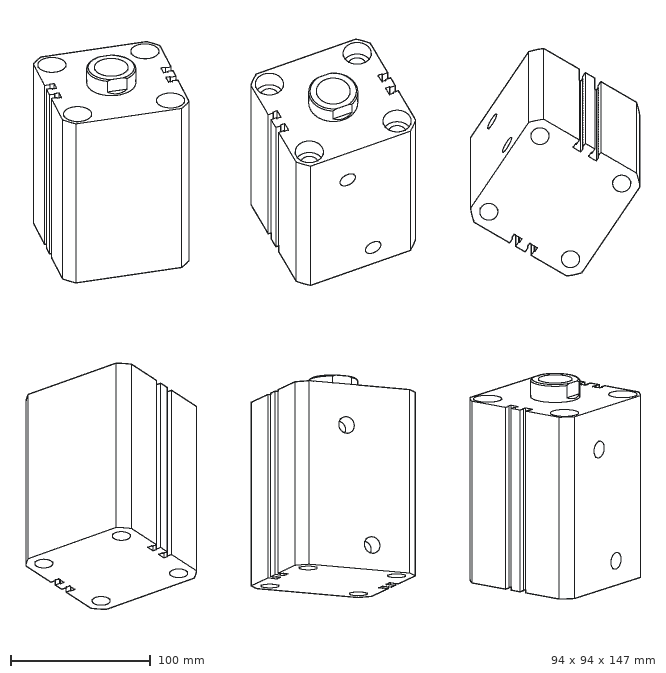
import cadquery as cq
import math

total_height = 147.0
housing_height = 134.0
housing_width = 94.0
corner_diameter = 122.3

mount_spacing = 69.0
mount_hole_diameter = 13.0
mount_bore_diameter = 20.1
mount_bore_depth = 13.0

slot_spacing = 13.1
slot_mouth_width = 5.0
slot_inner_width = 6.5
slot_depth = 7.4
slot_lip = 4.1

port_diameter = 12.0
port_depth = 14.7
port_taper_ratio = 1 / 16
port_offset = 10.0
lower_port_height = 18.1
upper_port_drop = 30.0

rod_diameter = 35.1
rod_chamfer = 1.0
rod_flats_width = 31.9
flat_start = 3.0
thread_bore_diameter = 24.1
thread_bore_depth = 39.7
drill_point_angle = 120.0
rod_end_wall = 8.8

port_taper_angle = math.degrees(math.atan(port_taper_ratio / 2))
thread_bore_radius = thread_bore_diameter / 2
drill_point_depth = thread_bore_radius / math.tan(math.radians(drill_point_angle / 2))
rod_length = thread_bore_depth + drill_point_depth + rod_end_wall
rod_bottom = total_height - rod_length


def make_housing_block():
    """Square block with its corners trimmed by a concentric cylinder."""
    block = cq.Workplane("XY").rect(housing_width, housing_width).extrude(housing_height)
    corner_cylinder = cq.Workplane("XY").circle(corner_diameter / 2).extrude(housing_height)
    return block.intersect(corner_cylinder)


def cut_mounting_holes(body):
    """Four counterbored through holes."""
    return (
        body.faces(">Z").workplane(origin=(0, 0, housing_height))
        .rect(mount_spacing, mount_spacing, forConstruction=True).vertices()
        .cboreHole(mount_hole_diameter, mount_bore_diameter, mount_bore_depth)
    )


def make_slot(x, side):
    """T-slot cutter at the given X on the +Y (side 1) or -Y (side -1) face."""
    face_y = side * housing_width / 2
    mouth = (
        cq.Workplane("XY").center(x, face_y - side * slot_depth / 2)
        .rect(slot_mouth_width, slot_depth).extrude(housing_height)
    )
    inner_depth = slot_depth - slot_lip
    inner = (
        cq.Workplane("XY").center(x, face_y - side * (slot_lip + inner_depth / 2))
        .rect(slot_inner_width, inner_depth).extrude(housing_height)
    )
    return mouth.union(inner)


def make_port(y, z):
    """Blind tapered port cutter entering from the -X face."""
    return (
        cq.Workplane("YZ", origin=(-housing_width / 2, y, z))
        .circle(port_diameter / 2).extrude(port_depth, taper=port_taper_angle)
    )


def make_housing():
    """Cylinder body with slots, ports and the blind recess that holds the rod."""
    body = cut_mounting_holes(make_housing_block())
    for side in (1, -1):
        for x in (-slot_spacing / 2, slot_spacing / 2):
            body = body.cut(make_slot(x, side))
    body = body.cut(make_port(port_offset, housing_height - upper_port_drop))
    body = body.cut(make_port(-port_offset, lower_port_height))
    rod_recess = (
        cq.Workplane("XY").workplane(offset=rod_bottom)
        .circle(rod_diameter / 2).extrude(rod_length)
    )
    return body.cut(rod_recess)


def make_flat_cutter(side):
    """Wrench flat on the +X (side 1) or -X (side -1) side, with a 45 degree lower shoulder."""
    flat_x = rod_flats_width / 2
    outer_x = rod_diameter / 2
    step = outer_x - flat_x
    start_z = housing_height + flat_start
    return (
        cq.Workplane("XZ")
        .polyline([
            (side * flat_x, start_z),
            (side * outer_x, start_z - step),
            (side * outer_x, total_height),
            (side * flat_x, total_height),
        ])
        .close().extrude(rod_diameter / 2, both=True)
    )


def make_thread_bore():
    """Blind bore from the top of the rod, ending in a drill point."""
    bore_bottom = total_height - thread_bore_depth
    return (
        cq.Workplane("XZ")
        .polyline([
            (0, total_height),
            (thread_bore_radius, total_height),
            (thread_bore_radius, bore_bottom),
            (0, bore_bottom - drill_point_depth),
        ])
        .close().revolve(360, (0, 0, 0), (0, 1, 0))
    )


def make_rod():
    """Piston rod with a chamfered top, two wrench flats and a thread bore."""
    rod = (
        cq.Workplane("XY").workplane(offset=rod_bottom)
        .circle(rod_diameter / 2).extrude(rod_length)
        .faces(">Z").chamfer(rod_chamfer)
    )
    for side in (1, -1):
        rod = rod.cut(make_flat_cutter(side))
    return rod.cut(make_thread_bore())


housing = make_housing()
rod = make_rod()

result = cq.Compound.makeCompound([housing.val(), rod.val()])